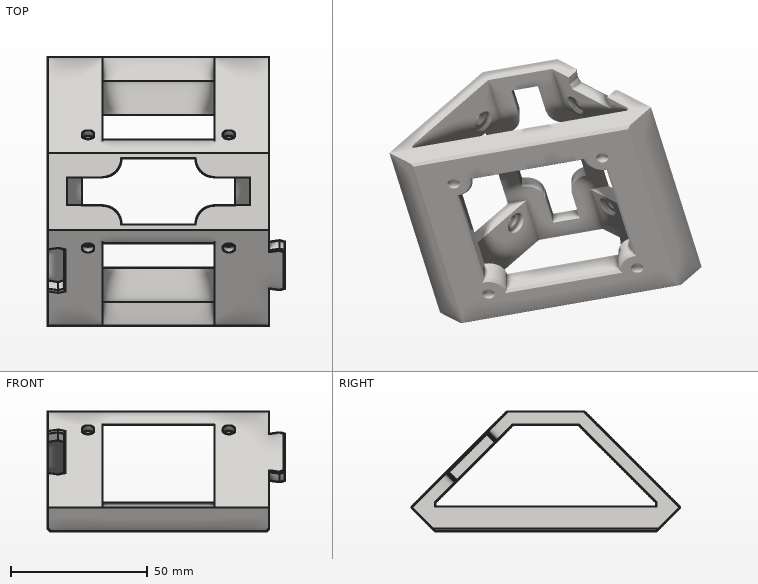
import cadquery as cq
import math

BODY_WIDTH = 81.3
BODY_DEPTH = 98.65
BODY_HEIGHT = 44.0
RIM_HEIGHT = 8.8
WALL = 4.9
FLOOR_TOP = 9.2
BOTTOM_CHAMFER = 1.0

half_width = BODY_WIDTH / 2
half_depth = BODY_DEPTH / 2
half_bottom = half_depth - RIM_HEIGHT
half_top = half_depth - (BODY_HEIGHT - RIM_HEIGHT)
ceiling = BODY_HEIGHT - WALL
half_ceiling = half_top - WALL * math.tan(math.radians(22.5))
cavity_corner = ceiling - (half_bottom - half_ceiling)

WINDOW_WIDTH = 41.0
HOLE_DIAMETER = 4.5
PAD_RADIUS = 6.9
BASE_HOLE_SPACING = 56.0
TOP_SLOT_LENGTH = 67.1
TOP_SLOT_WIDTH = 10.1
TOP_OPENING_LENGTH = 40.9
TOP_OPENING_WIDTH = 24.2
WALL_HOLE_SPACING = 51.7
WALL_HOLE_Y = 20.8
COUNTERBORE_DIAMETER = 7.9
COUNTERBORE_DEPTH = 2.0

JOINT_Y = -29.0
TAB_REACH = 5.7
TAB_LENGTH = 19.9
FLARE = 0.8
FLARE_REACH = 3.8
TAB_CHAMFER = 0.5
NOTCH_CLEARANCE = 0.2
NOTCH_CHAMFER = 0.7


def slope_height(y):
    """Height of the outer sloping face at a given Y."""
    return half_depth + RIM_HEIGHT - abs(y)


def extrude_profile(points, width):
    """Extrude a YZ outline along X, centred on X = 0."""
    return cq.Workplane("YZ").polyline(points).close().extrude(width / 2, both=True)


def centred_box(length, width, bottom, top):
    return cq.Workplane("XY").workplane(offset=bottom).rect(length, width).extrude(top - bottom)


def corner_cylinders(length, width, radius, bottom, top):
    """Four vertical cylinders on the corners of a rectangle."""
    return (
        cq.Workplane("XY").workplane(offset=bottom)
        .rect(length, width, forConstruction=True).vertices()
        .circle(radius).extrude(top - bottom)
    )


def slope_plane(y):
    """Plane on the outer face: local x along X, local y up the slope, normal outward."""
    side = math.copysign(1, y)
    return cq.Plane(origin=(0, y, slope_height(y)), xDir=(-side, 0, 0), normal=(0, side, 1))


def frame():
    outline = [
        (-half_bottom, 0), (half_bottom, 0), (half_depth, RIM_HEIGHT),
        (half_top, BODY_HEIGHT), (-half_top, BODY_HEIGHT), (-half_depth, RIM_HEIGHT),
    ]
    cavity = [
        (-half_bottom, FLOOR_TOP), (half_bottom, FLOOR_TOP), (half_bottom, cavity_corner),
        (half_ceiling, ceiling), (-half_ceiling, ceiling), (-half_bottom, cavity_corner),
    ]
    body = extrude_profile(outline, BODY_WIDTH)
    body = body.faces("<Z").edges("|Y").chamfer(BOTTOM_CHAMFER)
    return body.cut(extrude_profile(cavity, BODY_WIDTH))


def wall_windows():
    """Windows through both slopes, level with the ceiling, with sills falling outward to the rim."""
    outline = [
        (-half_depth, RIM_HEIGHT), (-half_bottom, cavity_corner),
        (half_bottom, cavity_corner), (half_depth, RIM_HEIGHT),
        (half_depth, ceiling), (-half_depth, ceiling),
    ]
    return extrude_profile(outline, WINDOW_WIDTH)


def base_opening():
    """Square opening with rounded pads left in its corners."""
    square = centred_box(BASE_HOLE_SPACING, BASE_HOLE_SPACING, 0, FLOOR_TOP)
    pads = corner_cylinders(BASE_HOLE_SPACING, BASE_HOLE_SPACING, PAD_RADIUS, 0, FLOOR_TOP)
    return square.cut(pads)


def base_holes():
    return corner_cylinders(BASE_HOLE_SPACING, BASE_HOLE_SPACING, HOLE_DIAMETER / 2, 0, FLOOR_TOP)


def top_opening():
    layout = (TOP_OPENING_LENGTH, TOP_OPENING_WIDTH)
    middle = centred_box(*layout, ceiling, BODY_HEIGHT)
    pads = corner_cylinders(*layout, PAD_RADIUS, ceiling, BODY_HEIGHT)
    slot = centred_box(TOP_SLOT_LENGTH, TOP_SLOT_WIDTH, ceiling, BODY_HEIGHT)
    return middle.cut(pads).union(slot)


def wall_holes(y):
    """Pair of holes normal to a slope, counterbored from inside the frame."""
    positions = [(-WALL_HOLE_SPACING / 2, 0), (WALL_HOLE_SPACING / 2, 0)]
    outer_face = cq.Workplane(slope_plane(y))
    holes = outer_face.pushPoints(positions).circle(HOLE_DIAMETER / 2).extrude(-WALL)
    counterbores = (
        outer_face.workplane(offset=-WALL).pushPoints(positions)
        .circle(COUNTERBORE_DIAMETER / 2).extrude(COUNTERBORE_DEPTH)
    )
    return holes.union(counterbores)


def joint_prism(edge_x, clearance, chamfer):
    """Flared tongue reaching +X from edge_x, its outer rim offset by chamfer (negative shrinks it)."""
    root = edge_x - WALL

    def outline(offset):
        half_end = TAB_LENGTH / 2 + clearance + offset
        tip = edge_x + TAB_REACH + clearance + offset
        peak = edge_x + FLARE_REACH
        return [
            (root, -half_end), (edge_x, -half_end), (peak, -half_end - FLARE), (tip, -half_end),
            (tip, half_end), (peak, half_end + FLARE), (edge_x, half_end), (root, half_end),
        ]

    depth = abs(chamfer)
    plane = cq.Workplane(slope_plane(JOINT_Y))
    straight = plane.workplane(offset=-WALL).polyline(outline(0)).close().extrude(WALL - depth)
    rim = (
        plane.workplane(offset=-depth).polyline(outline(0)).close()
        .workplane(offset=depth).polyline(outline(chamfer)).close().loft(ruled=True)
    )
    return straight.union(rim)


def tab():
    tongue = joint_prism(half_width, 0, -TAB_CHAMFER)
    reach = cq.Workplane("XY").box(BODY_WIDTH, BODY_DEPTH, BODY_HEIGHT, centered=(False, True, False))
    return tongue.intersect(reach.translate((half_width, 0, 0)))


result = frame().cut(base_opening())
opening_corner = BASE_HOLE_SPACING / 2
opening_edges = cq.selectors.BoxSelector(
    (-opening_corner - BOTTOM_CHAMFER, -opening_corner - BOTTOM_CHAMFER, -BOTTOM_CHAMFER),
    (opening_corner + BOTTOM_CHAMFER, opening_corner + BOTTOM_CHAMFER, BOTTOM_CHAMFER),
    boundingbox=True,
)
result = result.faces("<Z").edges(opening_edges).chamfer(BOTTOM_CHAMFER)
result = result.cut(base_holes()).cut(wall_windows()).cut(top_opening())
for hole_y in (-WALL_HOLE_Y, WALL_HOLE_Y):
    result = result.cut(wall_holes(hole_y))
result = result.cut(joint_prism(-half_width, NOTCH_CLEARANCE, NOTCH_CHAMFER))
result = result.union(tab())